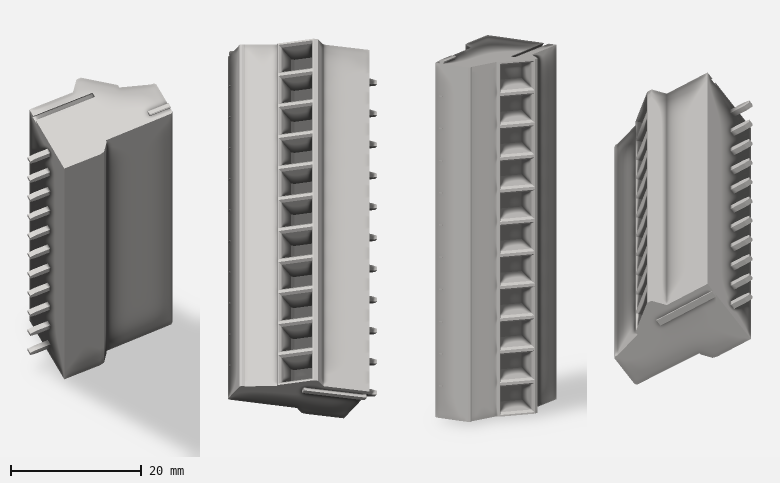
import cadquery as cq
import math

POLES = 11
PITCH = 5.1
BODY_HEIGHT = 55.9
BODY_DEPTH = 19.55
BODY_WIDTH = 14.25
END_MARGIN = (BODY_HEIGHT - POLES * PITCH) / 2

NOSE = (0.0, 9.7)
SHOULDER = (3.7, 14.2)
SLOPE_LENGTH = math.dist(NOSE, SHOULDER)

FUNNEL_MOUTH = (0.0, 0.1, 4.6)
FUNNEL_THROAT = (0.5, 0.4, 4.0)
FUNNEL_SOCKET = (1.5, 0.4, 3.7)
FUNNEL_FLOOR = (4.7, 0.5, 2.8)
FLOOR_BEVEL_DEPTH = 0.3
FLOOR_BEVEL_LENGTH = 0.4

PIN_X = 8.9
PIN_SIZE = 0.9
PIN_LENGTH = 3.4
PIN_TIP_LENGTH = 0.95
PIN_TIP_HEIGHT = 0.55

DOVETAIL_HEIGHT = 0.55
DOVETAIL_LIP = 0.15
FRONT_DOVETAIL_X = 3.75
FRONT_DOVETAIL_LENGTH = 10.1
FRONT_DOVETAIL_NECK = 0.7
FRONT_DOVETAIL_HEAD = 1.15
GROOVE_CLEARANCE = 0.15
BACK_DOVETAIL_X = 10.85
BACK_DOVETAIL_LENGTH = 3.55
BACK_DOVETAIL_NECK = 0.5
BACK_DOVETAIL_HEAD = 0.9
BACK_DOVETAIL_CHAMFER = 0.14

MARK_X = 10.9
MARK_WIDTH = 0.6
MARK_HEIGHT = 0.15
MARK_PROUD = 0.1


def pole_center(index):
    return END_MARGIN + (index + 0.5) * PITCH


def make_body():
    outline = [
        (1.95, 0),
        (BODY_WIDTH, 0),
        (BODY_WIDTH, 6.1),
        (14.1, 6.85),
        (12.55, 8.05),
        (12.25, 8.05),
        (12.1, 19.3),
        (11.8, BODY_DEPTH),
        (6.1, BODY_DEPTH),
        (5.8, 19.3),
        (5.8, 18.8),
        (4.2, SHOULDER[1]),
        SHOULDER,
        NOSE,
        (0, 8.95),
        (1.95, 7.4),
    ]
    return cq.Workplane("XY").polyline(outline).close().extrude(BODY_HEIGHT)


def funnel_stage(outer, inner):
    """Tapered stage between two funnel sections, with the sloping face as the local XY plane."""
    outer_depth, outer_inset, outer_height = outer
    inner_depth, inner_inset, inner_height = inner
    return (
        cq.Workplane("XY")
        .workplane(offset=-outer_depth)
        .rect(SLOPE_LENGTH - 2 * outer_inset, outer_height)
        .workplane(offset=outer_depth - inner_depth)
        .rect(SLOPE_LENGTH - 2 * inner_inset, inner_height)
        .loft(ruled=True)
    )


def make_funnel():
    """Wire-entry cavity, with local +X running from the nose towards the shoulder."""
    funnel = funnel_stage(FUNNEL_MOUTH, FUNNEL_THROAT)
    funnel = funnel.union(funnel_stage(FUNNEL_THROAT, FUNNEL_SOCKET))
    funnel = funnel.union(funnel_stage(FUNNEL_SOCKET, FUNNEL_FLOOR))

    floor_depth, floor_inset, floor_height = FUNNEL_FLOOR
    floor_end = SLOPE_LENGTH / 2 - floor_inset
    bevel = (
        cq.Workplane("XZ")
        .moveTo(floor_end - FLOOR_BEVEL_LENGTH, -floor_depth)
        .lineTo(floor_end + FLOOR_BEVEL_LENGTH, -floor_depth)
        .lineTo(floor_end + FLOOR_BEVEL_LENGTH, -floor_depth + 2 * FLOOR_BEVEL_DEPTH)
        .close()
        .extrude(floor_height, both=True)
    )
    return funnel.cut(bevel)


def place_on_slope(shape, z):
    slope_x = (SHOULDER[0] - NOSE[0]) / SLOPE_LENGTH
    slope_y = (SHOULDER[1] - NOSE[1]) / SLOPE_LENGTH
    slope_plane = cq.Plane(
        origin=((NOSE[0] + SHOULDER[0]) / 2, (NOSE[1] + SHOULDER[1]) / 2, z),
        xDir=(slope_x, slope_y, 0),
        normal=(-slope_y, slope_x, 0),
    )
    return shape.val().moved(cq.Location(slope_plane))


def make_pin(z):
    shaft_end = PIN_TIP_LENGTH - PIN_LENGTH
    half = PIN_SIZE / 2
    tip_half = PIN_TIP_HEIGHT / 2
    outline = [
        (0, -half),
        (shaft_end, -half),
        (-PIN_LENGTH, -tip_half),
        (-PIN_LENGTH, tip_half),
        (shaft_end, half),
        (0, half),
    ]
    return (
        cq.Workplane("YZ", origin=(PIN_X, 0, z))
        .polyline(outline)
        .close()
        .extrude(half, both=True)
    )


def make_dovetail(x, y_start, length, neck, head, base_z, direction):
    """Dovetail bar along Y that widens from base_z in the given Z direction."""
    lip_z = direction * (DOVETAIL_HEIGHT - DOVETAIL_LIP)
    head_z = direction * DOVETAIL_HEIGHT
    outline = [
        (-neck / 2, 0),
        (neck / 2, 0),
        (head / 2, lip_z),
        (head / 2, head_z),
        (-head / 2, head_z),
        (-head / 2, lip_z),
    ]
    return (
        cq.Workplane("XZ", origin=(x, y_start, base_z))
        .polyline(outline)
        .close()
        .extrude(-length)
    )


def make_mark(z):
    mark = cq.Workplane("XY").box(MARK_WIDTH, 2 * MARK_PROUD, MARK_HEIGHT)
    return mark.translate((MARK_X, BODY_DEPTH, z))


result = make_body()

funnel = make_funnel()
for pole in range(POLES):
    center_z = pole_center(pole)
    result = result.cut(cq.Workplane(place_on_slope(funnel, center_z)))
    result = result.union(make_pin(center_z))

for pole in range(POLES - 1):
    result = result.union(make_mark(pole_center(pole) + PITCH / 2))

front_dovetail = make_dovetail(
    FRONT_DOVETAIL_X, 0, FRONT_DOVETAIL_LENGTH,
    FRONT_DOVETAIL_NECK, FRONT_DOVETAIL_HEAD, 0, -1,
)
front_groove = make_dovetail(
    FRONT_DOVETAIL_X, 0, FRONT_DOVETAIL_LENGTH,
    FRONT_DOVETAIL_NECK + GROOVE_CLEARANCE, FRONT_DOVETAIL_HEAD + GROOVE_CLEARANCE, BODY_HEIGHT, -1,
)
result = result.union(front_dovetail).cut(front_groove)

back_dovetail = make_dovetail(
    BACK_DOVETAIL_X, BODY_DEPTH - BACK_DOVETAIL_LENGTH, BACK_DOVETAIL_LENGTH,
    BACK_DOVETAIL_NECK, BACK_DOVETAIL_HEAD, BODY_HEIGHT, 1,
)
back_dovetail = back_dovetail.faces(">Z").edges("|Y").chamfer(BACK_DOVETAIL_CHAMFER)
result = result.union(back_dovetail)